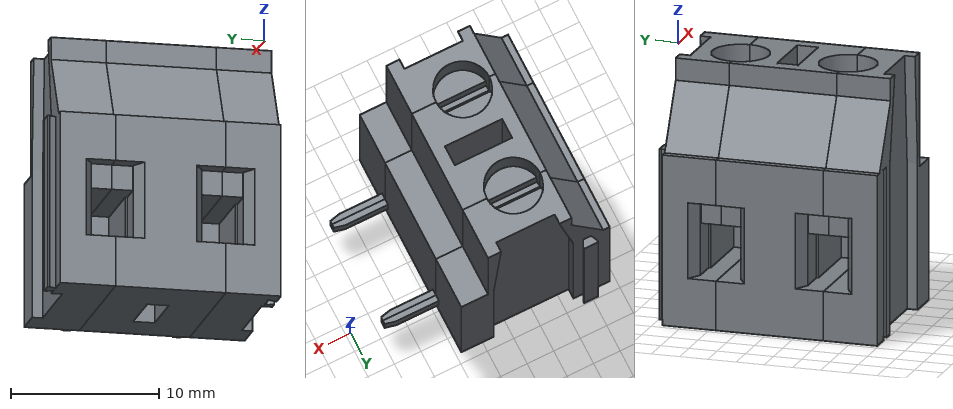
import cadquery as cq


pole_pitch = 7.61
near_pole_y = -pole_pitch / 2
far_pole_y = pole_pitch / 2
pole_positions = (near_pole_y, far_pole_y)
near_side_y = -pole_pitch
far_side_y = pole_pitch

height = 18.0
body_depth = 11.2
ledge_depth = 0.5
shoulder_height = 12.0
slope_top_height = 16.43
top_front_x = 2.88
top_rear_x = 9.18
rear_step_height = 9.99

recess_depth = 0.74
recess_front_x = 2.74
recess_rear_x = 8.73
recess_rear_bend_height = 10.31
recess_top_front_x = 3.8
recess_top_rear_x = 8.19

dovetail_x = 1.71
dovetail_neck = 0.61
dovetail_width = 1.06
dovetail_height = 0.61
dovetail_lip = 0.15

screw_x = 5.35
well_diameter = 4.0
well_depth = 2.0
driver_slot_width = 0.77
driver_slot_depth = 1.0

entry_bottom = 3.47
entry_top = 8.8
mouth_width = 4.01
mouth_depth = 0.99
throat_width = 2.88
lintel_x = 1.15
lintel_bottom = 7.1
throat_end_x = 2.86
clamp_width = 2.61
clamp_end_x = 2 * screw_x - throat_end_x

opening_front_x = 3.9
opening_rear_x = 8.23
opening_width = 1.5

pin_end_x = 15.2
pin_taper_length = 0.8
pin_width = 0.9
pin_tip_width = 0.54
pin_bottom = 1.12
pin_thickness = 0.9


def box_between(x_range, y_range, z_range):
    """Axis-aligned box between the given pairs of limits."""
    size = [high - low for low, high in (x_range, y_range, z_range)]
    corner = (x_range[0], y_range[0], z_range[0])
    return cq.Workplane("XY").box(*size, centered=False).translate(corner)


def centred_box(x_range, centre_y, width, z_range):
    """Box of the given width along Y, centred on centre_y."""
    return box_between(x_range, (centre_y - width / 2, centre_y + width / 2), z_range)


def extrude_profile(points, y_start, y_end):
    """Extrude an XZ outline from y_start to y_end."""
    profile = cq.Workplane("XZ", origin=(0, y_start, 0)).polyline(points).close()
    return profile.extrude(y_start - y_end)


def housing_slab(y_start, y_end):
    """Plain stretch of the housing with its stepped side profile."""
    outline = [
        (0, 0),
        (body_depth, 0),
        (body_depth, rear_step_height),
        (top_rear_x, rear_step_height),
        (top_rear_x, height),
        (top_front_x, height),
        (top_front_x, slope_top_height),
        (ledge_depth, shoulder_height),
        (0, shoulder_height),
    ]
    return extrude_profile(outline, y_start, y_end)


def screw_well(pole_y, depth):
    """Round well of the given depth below the top face."""
    top_plane = cq.Workplane(cq.Plane(origin=(screw_x, pole_y, height), xDir=(1, 1, 0)))
    return top_plane.circle(well_diameter / 2).extrude(-depth)


def driver_slot(pole_y):
    """Slot across the full floor of the screw well."""
    floor_z = height - well_depth
    x_range = (screw_x - well_diameter / 2, screw_x + well_diameter / 2)
    slot = centred_box(x_range, pole_y, driver_slot_width, (floor_z - driver_slot_depth, floor_z))
    return slot.intersect(screw_well(pole_y, well_depth + driver_slot_depth))


def wire_entry(pole_y):
    """Opening for the wire, from the front face to the end of the clamp pocket."""
    mouth_outline = [
        (0, pole_y - mouth_width / 2),
        (mouth_depth, pole_y - throat_width / 2),
        (lintel_x, pole_y - throat_width / 2),
        (lintel_x, pole_y + throat_width / 2),
        (mouth_depth, pole_y + throat_width / 2),
        (0, pole_y + mouth_width / 2),
    ]
    mouth_plane = cq.Workplane("XY", origin=(0, 0, entry_bottom))
    mouth = mouth_plane.polyline(mouth_outline).close().extrude(entry_top - entry_bottom)
    lower_z_range = (entry_bottom, lintel_bottom)
    throat = centred_box((lintel_x, throat_end_x), pole_y, throat_width, lower_z_range)
    clamp_pocket = centred_box((throat_end_x, clamp_end_x), pole_y, clamp_width, lower_z_range)
    return mouth.union(throat).union(clamp_pocket)


def solder_pin(pole_y):
    """Flat pin on the rear face, tapered in width at its tip."""
    taper_x = pin_end_x - pin_taper_length
    outline = [
        (body_depth, pole_y - pin_width / 2),
        (taper_x, pole_y - pin_width / 2),
        (pin_end_x, pole_y - pin_tip_width / 2),
        (pin_end_x, pole_y + pin_tip_width / 2),
        (taper_x, pole_y + pin_width / 2),
        (body_depth, pole_y + pin_width / 2),
    ]
    pin_plane = cq.Workplane("XY", origin=(0, 0, pin_bottom))
    return pin_plane.polyline(outline).close().extrude(pin_thickness)


def side_recess(y_start, y_end):
    """Recess volume that narrows towards the top."""
    outline = [
        (recess_front_x, 0),
        (recess_rear_x, 0),
        (recess_rear_x, recess_rear_bend_height),
        (recess_top_rear_x, height),
        (recess_top_front_x, height),
        (recess_front_x, shoulder_height),
    ]
    return extrude_profile(outline, y_start, y_end)


def dovetail(base_y):
    """Upright dovetail bar that widens from base_y towards +Y."""
    lip_y = base_y + dovetail_height - dovetail_lip
    tip_y = base_y + dovetail_height
    outline = [
        (dovetail_x - dovetail_neck / 2, base_y),
        (dovetail_x + dovetail_neck / 2, base_y),
        (dovetail_x + dovetail_width / 2, lip_y),
        (dovetail_x + dovetail_width / 2, tip_y),
        (dovetail_x - dovetail_width / 2, tip_y),
        (dovetail_x - dovetail_width / 2, lip_y),
    ]
    return cq.Workplane("XY").polyline(outline).close().extrude(shoulder_height)


def housing_slice(y_start, y_end):
    """Slab with the parts of the wells, wire entries and pins that fall inside it."""
    body = housing_slab(y_start, y_end)
    pin_zone = box_between((body_depth, pin_end_x), (y_start, y_end), (0, height))
    for pole_y in pole_positions:
        if y_start <= pole_y <= y_end:
            body = body.cut(screw_well(pole_y, well_depth)).cut(driver_slot(pole_y))
            body = body.cut(wire_entry(pole_y))
            body = body.union(solder_pin(pole_y).intersect(pin_zone))
    return body


def make_near_end():
    """End slice with the dovetail groove."""
    body = housing_slice(near_side_y, near_pole_y)
    body = body.cut(side_recess(near_side_y, near_side_y + recess_depth))
    return body.cut(dovetail(near_side_y))


def make_middle():
    """Slice between the poles, with the rectangular opening through it."""
    opening = centred_box((opening_front_x, opening_rear_x), 0, opening_width, (0, height))
    return housing_slice(near_pole_y, far_pole_y).cut(opening)


def make_far_end():
    """End slice with the dovetail rail."""
    body = housing_slice(far_pole_y, far_side_y)
    body = body.cut(side_recess(far_side_y - recess_depth, far_side_y))
    return body.union(dovetail(far_side_y))


near_end = make_near_end()
middle = make_middle()
far_end = make_far_end()

result = cq.Compound.makeCompound([near_end.val(), middle.val(), far_end.val()])